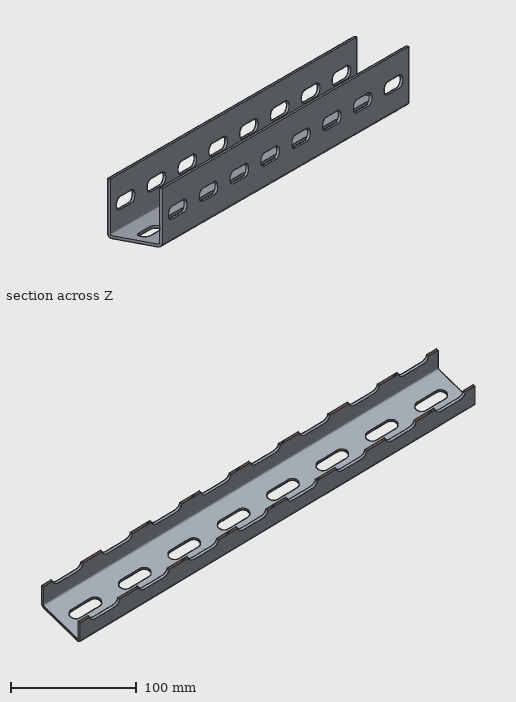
import cadquery as cq

width = 50.0
length = 400.0
height = 50.0
sheet_thickness = 2.5
outer_bend_radius = 4.0
inner_bend_radius = outer_bend_radius - sheet_thickness

slot_count = 8
slot_pitch = length / slot_count
slot_length = 30.0
slot_width = 11.0
side_slot_height = height / 2


def make_channel():
    """U-section open towards +Z, centred on the Z axis, with rounded bends."""
    outer = (
        cq.Workplane("XY")
        .box(width, length, height, centered=(True, True, False))
        .edges("|Y and <Z")
        .fillet(outer_bend_radius)
    )
    inner = (
        cq.Workplane("XY")
        .workplane(offset=sheet_thickness)
        .box(width - 2 * sheet_thickness, length, height, centered=(True, True, False))
        .edges("|Y and <Z")
        .fillet(inner_bend_radius)
    )
    return outer.cut(inner)


def make_base_slots():
    return (
        cq.Workplane("XY")
        .rarray(1, slot_pitch, 1, slot_count)
        .slot2D(slot_length, slot_width, 90)
        .extrude(sheet_thickness)
    )


def make_side_slots():
    """Slot cutters spanning the full width, so they pierce both side walls."""
    return (
        cq.Workplane("YZ")
        .center(0, side_slot_height)
        .rarray(slot_pitch, 1, slot_count, 1)
        .slot2D(slot_length, slot_width)
        .extrude(width / 2, both=True)
    )


result = make_channel().cut(make_base_slots()).cut(make_side_slots())